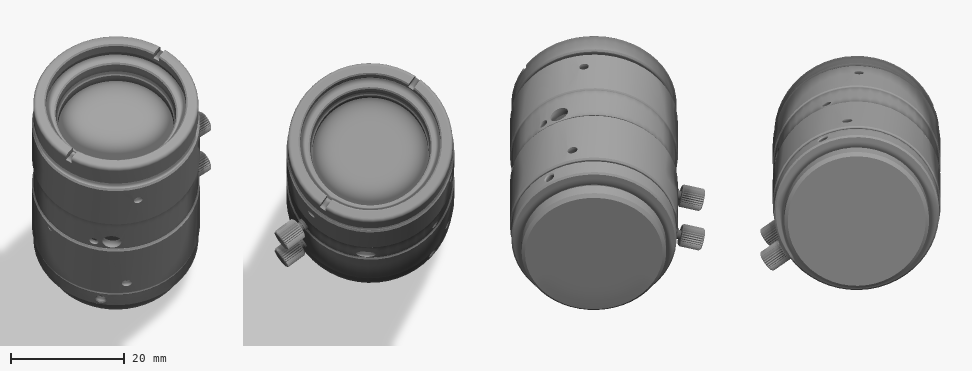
import cadquery as cq
import math

total_height = 45.33
flange_top = 2.9
mount_ring_bottom = 4.1
mount_ring_top = 7.9
lower_ring_bottom = 8.1
lower_ring_top = 21.15
scale_ring_bottom = 21.4
upper_ring_bottom = 28.75
upper_ring_top = 39.35
cap_bottom = 40.7

grip_radius = 14.75
ring_radius = 14.5
groove_radius = 13.8
mount_neck_radius = 12.0
cap_neck_radius = 11.9
flange_radius = 12.7

edge_chamfer = 0.3
flange_chamfer = 0.6
cap_fillet = 0.6

cap_bore_radius = 12.35
cap_bore_rim_chamfer = 0.25
cap_bore_depth = 3.2
relief_radius = 12.6
relief_start = 2.1
inner_bore_radius = 10.6
inner_bore_rim_chamfer = 0.25
cone_start = 5.5
cone_end = 6.0
cone_narrowing = 0.2
glass_radius = 10.2
glass_rim_chamfer = 0.2
glass_depth = 7.8

slot_width = 1.15
slot_depth = 1.3
slot_angle = 107.5

ring_hole_count = 3
hole_spacing = 360 / ring_hole_count
overcut = 1.0

upper_hole_diameter = 1.65
upper_hole_depth = 1.2
upper_hole_height = 35.6
upper_hole_angle = -22

lower_hole_diameter = 1.8
lower_hole_depth = 1.2
lower_hole_height = 11.25
lower_hole_angles = (-30, -150)

mount_hole_diameter = 1.7
mount_hole_depth = 1.2
mount_hole_rim_chamfer = 0.2
mount_hole_height = 5.9
mount_hole_angle = -48

scale_hole_diameter = 1.65
scale_hole_depth = 0.8
scale_hole_height = 22.95
scale_hole_angles = (-53, -165)

access_hole_diameter = 3.4
access_hole_depth = 1.5
access_hole_height = 23.45
access_hole_angle = -40.3

index_dot_diameter = 1.0
index_dot_depth = 0.1
index_dot_height = 20.15
index_dot_angle = -89.3

knob_end = 19.75
knob_length = 4.05
knob_radius = 2.0
knob_chamfer = 0.25
knurl_count = 30
knurl_depth = 0.2
stem_radius = 0.8
collar_radius = 1.07
collar_end = 15.15
screw_root = 13.5
upper_screw_height = 23.0
lower_screw_height = lower_hole_height


def disc(radius, bottom, top):
    return cq.Workplane("XY").workplane(offset=bottom).circle(radius).extrude(top - bottom)


def chamfered_disc(radius, bottom, top):
    return disc(radius, bottom, top).edges().chamfer(edge_chamfer)


def radial_cutter(diameter, depth, surface_radius, height, angle, rim_chamfer=0):
    """Cylinder that drills a blind hole towards the optical axis, with an optional countersunk rim."""
    radius = diameter / 2
    floor = surface_radius - depth
    rim = radius + rim_chamfer
    outline = [(0, floor), (radius, floor), (radius, surface_radius - rim_chamfer)]
    if rim_chamfer:
        outline.append((rim, surface_radius))
    outline += [(rim, surface_radius + overcut), (0, surface_radius + overcut)]
    cutter = cq.Workplane("XZ").polyline(outline).close().revolve(360, (0, 0), (0, 1))
    return (
        cutter.rotate((0, 0, 0), (0, 1, 0), 90)
        .rotate((0, 0, 0), (0, 0, 1), angle)
        .translate((0, 0, height))
    )


def lock_screw(height):
    """Knurled thumb knob on a stem and collar."""
    knurl = []
    for i in range(2 * knurl_count):
        radius = knob_radius - knurl_depth * (i % 2)
        angle = math.pi * i / knurl_count
        knurl.append((radius * math.cos(angle), radius * math.sin(angle)))
    knob_start = knob_end - knob_length
    knob = cq.Workplane("XY").workplane(offset=knob_start).polyline(knurl).close().extrude(knob_length)
    knob = knob.intersect(disc(knob_radius, knob_start, knob_end).edges().chamfer(knob_chamfer))
    screw = (
        knob.union(disc(stem_radius, screw_root, knob_start))
        .union(disc(collar_radius, screw_root, collar_end))
    )
    return screw.rotate((0, 0, 0), (1, 0, 0), -90).translate((0, 0, height))


def cap_opening():
    """Stepped round opening that ends on the flat front glass."""
    def level(depth):
        return total_height - depth

    cone_end_radius = inner_bore_radius - cone_narrowing
    outline = [
        (0, level(0)),
        (cap_bore_radius + cap_bore_rim_chamfer, level(0)),
        (cap_bore_radius, level(cap_bore_rim_chamfer)),
        (cap_bore_radius, level(relief_start)),
        (relief_radius, level(relief_start)),
        (relief_radius, level(cap_bore_depth)),
        (inner_bore_radius + inner_bore_rim_chamfer, level(cap_bore_depth)),
        (inner_bore_radius, level(cap_bore_depth + inner_bore_rim_chamfer)),
        (inner_bore_radius, level(cone_start)),
        (cone_end_radius, level(cone_end)),
        (glass_radius, level(cone_end + glass_rim_chamfer)),
        (glass_radius, level(glass_depth)),
        (0, level(glass_depth)),
    ]
    return cq.Workplane("XZ").polyline(outline).close().revolve(360, (0, 0), (0, 1))


def spanner_slots():
    """One bar across the cap cuts both opposite slots."""
    return (
        cq.Workplane("XY")
        .workplane(offset=total_height - slot_depth)
        .rect(3 * ring_radius, slot_width)
        .extrude(slot_depth)
        .rotate((0, 0, 0), (0, 0, 1), slot_angle)
    )


def build_rear_barrel():
    """Mount flange, mount ring and lower grip ring with its lock screw."""
    flange = disc(flange_radius, 0, flange_top).faces("<Z").edges().chamfer(flange_chamfer)
    body = (
        flange.union(disc(mount_neck_radius, flange_top, mount_ring_bottom))
        .union(chamfered_disc(ring_radius, mount_ring_bottom, mount_ring_top))
        .union(disc(groove_radius, mount_ring_top, lower_ring_bottom))
        .union(chamfered_disc(grip_radius, lower_ring_bottom, lower_ring_top))
    )
    for i in range(ring_hole_count):
        angle = mount_hole_angle + i * hole_spacing
        body = body.cut(radial_cutter(mount_hole_diameter, mount_hole_depth, ring_radius,
                                      mount_hole_height, angle, mount_hole_rim_chamfer))
    for angle in lower_hole_angles:
        body = body.cut(radial_cutter(lower_hole_diameter, lower_hole_depth, grip_radius,
                                      lower_hole_height, angle))
    body = body.cut(radial_cutter(index_dot_diameter, index_dot_depth, grip_radius,
                                  index_dot_height, index_dot_angle))
    return body.union(lock_screw(lower_screw_height))


def build_front_barrel():
    """Scale ring with its lock screw, upper grip ring, neck and front cap."""
    cap = disc(ring_radius, cap_bottom, total_height)
    cap = cap.faces("<Z").edges().chamfer(edge_chamfer)
    cap = cap.faces(">Z").edges().fillet(cap_fillet)
    body = (
        disc(groove_radius, lower_ring_top, scale_ring_bottom)
        .union(disc(ring_radius, scale_ring_bottom, upper_ring_bottom))
        .union(chamfered_disc(grip_radius, upper_ring_bottom, upper_ring_top))
        .union(disc(cap_neck_radius, upper_ring_top, cap_bottom))
        .union(cap)
        .cut(cap_opening())
        .cut(spanner_slots())
    )
    for i in range(ring_hole_count):
        angle = upper_hole_angle + i * hole_spacing
        body = body.cut(radial_cutter(upper_hole_diameter, upper_hole_depth, grip_radius,
                                      upper_hole_height, angle))
    for angle in scale_hole_angles:
        body = body.cut(radial_cutter(scale_hole_diameter, scale_hole_depth, ring_radius,
                                      scale_hole_height, angle))
    for angle in (access_hole_angle, access_hole_angle + 180):
        body = body.cut(radial_cutter(access_hole_diameter, access_hole_depth, ring_radius,
                                      access_hole_height, angle))
    return body.union(lock_screw(upper_screw_height))


rear_barrel = build_rear_barrel()
front_barrel = build_front_barrel()

result = cq.Compound.makeCompound([rear_barrel.val(), front_barrel.val()])